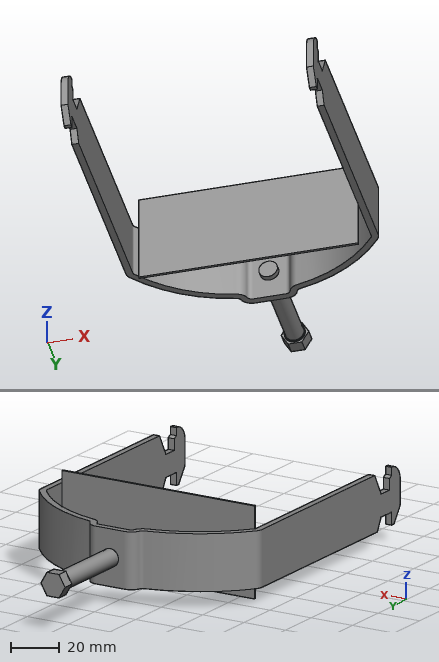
import cadquery as cq
import math

strap_width = 107.0
strap_height = 24.9
strap_thickness = 3.0
crown_y = 139.9
crown_flat_width = 14.0
crown_bend_radius = 2.2
arm_bend_radius = 1.7
dome_radius = 66.5
dome_center_y = 70.0

shoulder_top_y = 20.0
shoulder_bottom_y = 17.9
neck_y = 15.0
neck_top_z = 3.1
neck_bottom_z = -6.8
hook_y = 6.8
step_y = 8.5
step_low_z = 8.1
step_high_z = 9.0
tip_flat_y = 5.0
tip_edge_z = 5.5

plate_width = 93.0
plate_thickness = 1.0
plate_height = 40.0
plate_y = 102.0

bolt_top_y = 184.5
bolt_length = 50.0
shank_diameter = 8.0
head_flats = 10.1
head_height = 5.4
collar_diameter = 8.9
collar_height = 0.5


def polar(center, radius, angle):
    """Point at a radius and angle from a center."""
    return (center[0] + radius * math.cos(angle), center[1] + radius * math.sin(angle))


def direction(start, end):
    """Angle of the line from start to end."""
    return math.atan2(end[1] - start[1], end[0] - start[0])


def bend_arcs():
    """Arcs of the right half from crown to arm, as (center, outer radius, side, start, end).

    Side is -1 where the outer face is the convex one, and +1 where it is the concave one.
    """
    convex_radius = crown_bend_radius + strap_thickness
    arm_outer_radius = arm_bend_radius + strap_thickness
    dome = (0, dome_center_y)
    upper = (crown_flat_width / 2, crown_y - convex_radius)

    to_upper = convex_radius + crown_bend_radius
    to_dome = dome_radius + crown_bend_radius
    span = math.dist(dome, upper)
    offset = math.acos((to_dome**2 + span**2 - to_upper**2) / (2 * to_dome * span))
    lower = polar(dome, to_dome, direction(dome, upper) - offset)

    arm_x = strap_width / 2 - arm_outer_radius
    arm = (arm_x, dome_center_y + math.sqrt((dome_radius - arm_outer_radius) ** 2 - arm_x**2))

    upper_end = direction(upper, lower)
    dome_start = direction(dome, lower)
    dome_end = direction(dome, arm)
    return [
        (upper, convex_radius, -1, math.pi / 2, upper_end),
        (lower, crown_bend_radius, 1, upper_end + math.pi, dome_start + math.pi),
        (dome, dome_radius, -1, dome_start, dome_end),
        (arm, arm_outer_radius, -1, dome_end, 0),
    ]


def face_arcs(depth):
    """Start, middle and end points of the arcs at a depth below the outer face."""
    arcs = []
    for center, outer_radius, side, start, end in bend_arcs():
        radius = outer_radius + side * depth
        arcs.append([polar(center, radius, angle) for angle in (start, (start + end) / 2, end)])
    return arcs


def half_strip():
    """Right half of the bent strip at full height."""
    half_width = strap_width / 2
    outline = cq.Workplane("XY").moveTo(0, crown_y).lineTo(crown_flat_width / 2, crown_y)
    for _, middle, end in face_arcs(0):
        outline = outline.threePointArc(middle, end)
    outline = outline.lineTo(half_width, 0).lineTo(half_width - strap_thickness, 0)
    inner_arcs = face_arcs(strap_thickness)
    _, _, arm_top = inner_arcs[-1]
    outline = outline.lineTo(*arm_top)
    for start, middle, _ in reversed(inner_arcs):
        outline = outline.threePointArc(middle, start)
    outline = outline.lineTo(0, crown_y - strap_thickness).close()
    return outline.extrude(strap_height / 2, both=True)


def side_profile():
    """Block with the side outline of the strap: plain at the crown, hooked at the arm tips."""
    top = strap_height / 2
    tip_rise = top - tip_edge_z
    tip_radius = (tip_flat_y**2 + tip_rise**2) / (2 * tip_flat_y)
    tip_sweep = math.asin(tip_rise / tip_radius)
    tip_middle = polar((tip_radius, tip_edge_z), tip_radius, math.pi - tip_sweep / 2)
    return (
        cq.Workplane("YZ")
        .moveTo(crown_y, top)
        .lineTo(shoulder_top_y, top)
        .lineTo(neck_y, neck_top_z)
        .lineTo(step_y, neck_top_z)
        .lineTo(step_y, step_low_z)
        .lineTo(hook_y, step_high_z)
        .lineTo(hook_y, top)
        .lineTo(tip_flat_y, top)
        .threePointArc(tip_middle, (0, tip_edge_z))
        .lineTo(0, -tip_edge_z)
        .lineTo(tip_flat_y, -top)
        .lineTo(hook_y, -top)
        .lineTo(hook_y, neck_bottom_z)
        .lineTo(neck_y, neck_bottom_z)
        .lineTo(shoulder_bottom_y, -top)
        .lineTo(crown_y, -top)
        .close()
        .extrude(strap_width / 2, both=True)
    )


def y_cylinder(diameter, start_y, end_y):
    """Cylinder on the bolt axis between two Y positions."""
    return (
        cq.Workplane("XZ", origin=(0, end_y, 0))
        .circle(diameter / 2)
        .extrude(end_y - start_y)
    )


def make_strap():
    right = half_strip()
    strip = right.union(right.mirror("YZ"))
    bolt_hole = y_cylinder(shank_diameter, crown_y - 2 * strap_thickness, crown_y + strap_thickness)
    return strip.intersect(side_profile()).cut(bolt_hole)


def make_plate():
    return cq.Workplane("XY").box(plate_width, plate_thickness, plate_height).translate((0, plate_y, 0))


def make_bolt():
    head_corners = head_flats / math.cos(math.pi / 6)
    head_bottom_y = bolt_top_y - head_height
    head = (
        cq.Workplane("XZ", origin=(0, bolt_top_y, 0))
        .polygon(6, head_corners)
        .extrude(head_height)
    )
    collar = y_cylinder(collar_diameter, head_bottom_y - collar_height, head_bottom_y)
    shank = y_cylinder(shank_diameter, bolt_top_y - bolt_length, head_bottom_y)
    return head.union(collar).union(shank)


strap = make_strap()
plate = make_plate()
bolt = make_bolt()

result = cq.Compound.makeCompound([strap.val(), plate.val(), bolt.val()])